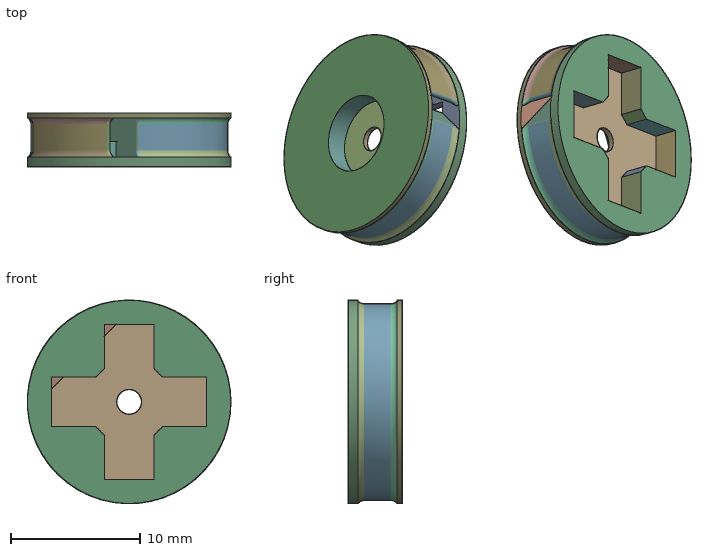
import cadquery as cq
import math

outer_diameter = 15.78
thickness = 4.2
front_flange = 0.77
back_flange = 0.41
core_radius = 7.64
flare_width = 0.49
flare_rise = 0.22

cross_span = 12.0
cross_arm_width = 3.83
cross_corner_chamfer = 0.66
pocket_depth = 1.99
hole_diameter = 1.9
web_thickness = 0.44
recess_diameter = 6.06

channel_inner_offset = 4.95
channel_width = 1.17
channel_edge_radius = 0.19

outer_radius = outer_diameter / 2
front = -thickness / 2
back = thickness / 2
groove_front = front + front_flange
groove_back = back - back_flange


def make_spool():
    """Revolve the flanged profile; X is radius and Y is the axis."""
    flare_radius = (flare_width**2 + flare_rise**2) / (2 * flare_rise)
    half_angle = math.asin(flare_width / flare_radius) / 2
    mid_run = flare_radius * math.sin(half_angle)
    mid_radius = core_radius + flare_radius * (1 - math.cos(half_angle))
    flare_top = core_radius + flare_rise
    core_front = groove_front + flare_width
    core_back = groove_back - flare_width
    return (
        cq.Workplane("XY")
        .moveTo(0, front)
        .lineTo(outer_radius, front)
        .lineTo(outer_radius, groove_front)
        .lineTo(flare_top, groove_front)
        .threePointArc((mid_radius, core_front - mid_run), (core_radius, core_front))
        .lineTo(core_radius, core_back)
        .threePointArc((mid_radius, core_back + mid_run), (flare_top, groove_back))
        .lineTo(outer_radius, groove_back)
        .lineTo(outer_radius, back)
        .lineTo(0, back)
        .close()
        .revolve(360, (0, 0, 0), (0, 1, 0))
    )


def cut_channel(body):
    """Cut the channel between the flanges and round its mouths on the core."""
    middle_offset = channel_inner_offset + channel_width / 2
    channel = (
        cq.Workplane("XY")
        .box(outer_diameter, groove_back - groove_front, channel_width)
        .translate((0, (groove_front + groove_back) / 2, middle_offset))
        .rotate((0, 0, 0), (0, 1, 0), -45)
    )
    body = body.cut(channel)
    mouth_edges = [edge for edge in body.edges().vals() if is_mouth_edge(edge)]
    return body.newObject(mouth_edges).fillet(channel_edge_radius)


def is_mouth_edge(edge):
    """True for the edges where a channel wall meets the core or a flare."""
    tolerance = 0.02
    middle = edge.positionAt(0.5)
    offset = (middle.z - middle.x) / math.sqrt(2)
    radius = math.hypot(middle.x, middle.z)
    walls = (channel_inner_offset, channel_inner_offset + channel_width)
    on_wall = any(abs(offset - wall) < tolerance for wall in walls)
    on_surface = core_radius - tolerance < radius < core_radius + flare_rise
    between_flanges = groove_front + tolerance < middle.y < groove_back - tolerance
    return on_wall and on_surface and between_flanges


def make_pocket():
    """Cross with chamfered inner corners, open at the front face."""
    centre = (0, front + pocket_depth / 2, 0)
    bar = cq.Workplane("XY").box(cross_span, pocket_depth, cross_arm_width)
    post = cq.Workplane("XY").box(cross_arm_width, pocket_depth, cross_span)
    chamfer_square = math.sqrt(2) * (cross_arm_width + cross_corner_chamfer)
    core = (
        cq.Workplane("XY")
        .box(chamfer_square, pocket_depth, chamfer_square)
        .rotate((0, 0, 0), (0, 1, 0), 45)
    )
    return bar.union(post).union(core).translate(centre)


def make_back_recess():
    """Round recess in the back face, reaching down to the web."""
    depth = thickness - pocket_depth - web_thickness
    return cq.Workplane("XZ", origin=(0, back, 0)).circle(recess_diameter / 2).extrude(depth)


hole = cq.Workplane("XZ").circle(hole_diameter / 2).extrude(thickness, both=True)

spool = cut_channel(make_spool())
result = spool.cut(make_pocket()).cut(hole).cut(make_back_recess())